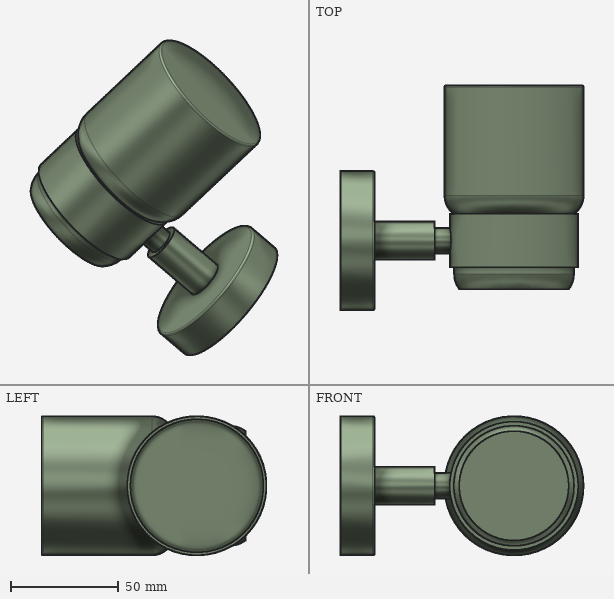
import cadquery as cq
import math

overall_length = 113.5
overall_width = 105.0
overall_height = 65.0

disc_radius = overall_height / 2
cover_depth = 16.0
cover_wall = 1.5
cover_edge_radius = 1.0

post_radius = 9.0
neck_radius = 6.0
post_end = 44.0

ring_radius = 30.0
ring_height = 25.0
ring_top = ring_height / 2
ring_bottom = -ring_height / 2

tumbler_radius = disc_radius
tumbler_axis_x = overall_length - tumbler_radius
stem_radius = 28.0
base_radius = 25.5
tumbler_bottom = -22.7
stem_bottom = -15.4
shoulder_top = 21.1
tumbler_top = overall_width - disc_radius
rim_radius = 0.9


def make_cover():
    """Round cup with a rounded front edge and its open side at the wall."""
    cup = cq.Workplane("YZ").circle(disc_radius).extrude(cover_depth)
    cup = cup.faces(">X").edges().fillet(cover_edge_radius)
    cavity = cq.Workplane("YZ").circle(disc_radius - cover_wall).extrude(cover_depth - cover_wall)
    return cup.cut(cavity)


def make_post():
    """Post with a thinner neck, whose end is shaped to the outside of the ring."""
    post = cq.Workplane("YZ").workplane(offset=cover_depth).circle(post_radius).extrude(post_end - cover_depth)
    neck = cq.Workplane("YZ").workplane(offset=post_end).circle(neck_radius).extrude(tumbler_axis_x - post_end)
    return post.union(neck).cut(upright_cylinder(ring_radius))


def upright_cylinder(radius):
    """Cylinder along Y on the tumbler axis, as tall as the ring."""
    base = cq.Workplane("XZ", origin=(tumbler_axis_x, ring_bottom, 0))
    return base.circle(radius).extrude(-ring_height)


def make_ring():
    """Plain ring that fits closely around the tumbler stem."""
    return upright_cylinder(ring_radius).cut(upright_cylinder(stem_radius))


def arc_middle(radius_wide, radius_narrow, y_wide, y_narrow):
    """Middle of a circular arc that is tangent to the wall at its wide end."""
    inset = radius_wide - radius_narrow
    drop = y_wide - y_narrow
    arc_radius = (inset ** 2 + drop ** 2) / (2 * inset)
    half_angle = math.asin(drop / arc_radius) / 2
    return (
        radius_wide - arc_radius * (1 - math.cos(half_angle)),
        y_wide - arc_radius * math.sin(half_angle),
    )


def make_tumbler():
    """Solid of revolution: rounded base, stem in the ring, rounded shoulder and wide upper part."""
    base_middle = arc_middle(stem_radius, base_radius, stem_bottom, tumbler_bottom)
    shoulder_middle = arc_middle(tumbler_radius, stem_radius, shoulder_top, ring_top)
    profile = (
        cq.Workplane("XY", origin=(tumbler_axis_x, 0, 0))
        .moveTo(0, tumbler_bottom)
        .lineTo(base_radius, tumbler_bottom)
        .threePointArc(base_middle, (stem_radius, stem_bottom))
        .lineTo(stem_radius, ring_top)
        .threePointArc(shoulder_middle, (tumbler_radius, shoulder_top))
        .lineTo(tumbler_radius, tumbler_top)
        .lineTo(0, tumbler_top)
        .close()
    )
    tumbler = profile.revolve(360, (0, 0), (0, 1))
    return tumbler.faces(">Y").edges().fillet(rim_radius)


cover = make_cover()
post = make_post()
ring = make_ring()
tumbler = make_tumbler()

result = cq.Compound.makeCompound([cover.val(), post.val(), ring.val(), tumbler.val()])